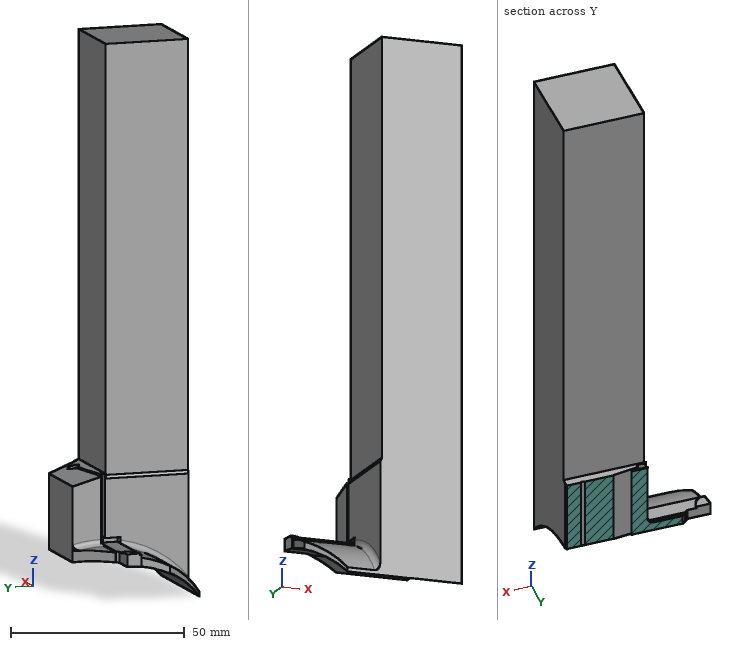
import cadquery as cq
import math

shank_width = 24.7
shank_depth = 25.0
length = 161.2

overall_width = 45.0
overall_depth = 35.1
head_step = 0.5
head_top = 34.2
jaw_outer_top = 32.4
jaw_ridge_y = 26.9
jaw_ridge_top = 34.7
jaw_root_top = 35.5
jaw_corner_x = 21.3
jaw_corner_y = 26.0

arch_radius = 32.7
arch_y = 25.1
arch_z = -math.sqrt(arch_radius**2 - arch_y**2)
blade_radius = 33.0
blade_y = 26.6
blade_z = -18.4
blade_nose_x = -19.3
blade_nose_y = 12.0
blade_front_x = -10.6
blade_fillet = 1.8

insert_front_y = 20.6
insert_back_y = 26.0
insert_top = 15.0
tip_x = shank_width - overall_width
tip_y = 25.1
tip_taper = 0.5
insert_shoulder_x = -13.2
insert_seat_x = -12.2
pocket_end_x = 2.3
pocket_top = 16.8
tip_pad_length = 4.4
tip_pad_depth = 4.0
tip_pad_arc_x = 3.5
tip_pad_arc_y = 2.5
tip_pad_height = 0.5

relief_x = 19.3
relief_y = 28.4
relief_diameter = 3.4
slit_start_y = 26.0
slit_end_y = 28.0
slit_width = 0.56
mouth_width = 1.3
mouth_depth = pocket_end_x + head_step


def cylinder_along_x(radius, y, z):
    """Long cylinder covering the whole X range of the tool."""
    return (cq.Workplane("YZ").center(y, z).circle(radius)
            .extrude(2 * overall_width).translate((-overall_width, 0, 0)))


def prism(points, height=length):
    return cq.Workplane("XY").polyline(points).close().extrude(height)


arch = cylinder_along_x(arch_radius, arch_y, arch_z)


def make_head():
    side_profile = [
        (0, 0), (0, head_top), (shank_depth, head_top), (shank_depth, jaw_root_top),
        (jaw_ridge_y, jaw_ridge_top), (overall_depth, jaw_outer_top), (overall_depth, 0),
    ]
    head = (cq.Workplane("YZ").polyline(side_profile).close()
            .extrude(shank_width + head_step).translate((-head_step, 0, 0)))
    plan = prism([
        (-head_step, 0), (shank_width, 0), (shank_width, jaw_corner_y),
        (jaw_corner_x, overall_depth), (-head_step, overall_depth),
    ])
    step_slope = (cq.Workplane("XZ")
                  .polyline([(-head_step, head_top), (0, head_top + 2 * head_step), (0, head_top)])
                  .close().extrude(-shank_depth))
    return head.intersect(plan).union(step_slope)


def make_blade():
    plan = prism([
        (blade_front_x, 0), (blade_nose_x, blade_nose_y), (blade_nose_x, tip_y),
        (insert_shoulder_x, tip_y), (-head_step, overall_depth),
        (0, overall_depth), (0, 0),
    ])
    return plan.intersect(cylinder_along_x(blade_radius, blade_y, blade_z))


def make_blade_fillet():
    """Concave fillet ring where the blade top runs into the head."""
    outer = blade_radius + blade_fillet
    fillet_x = -head_step - blade_fillet
    section = (cq.Workplane("XY").moveTo(fillet_x, blade_radius - blade_fillet)
               .lineTo(fillet_x, blade_radius)
               .radiusArc((-head_step, outer), -blade_fillet)
               .lineTo(-head_step, blade_radius - blade_fillet).close())
    ring = section.revolve(360, (0, 0), (1, 0)).translate((0, blade_y, blade_z))
    plan = prism([
        (fillet_x, 0), (fillet_x, overall_depth - blade_fillet),
        (-head_step, overall_depth), (-head_step, 0),
    ])
    return ring.intersect(plan)


def make_slit():
    slope = (slit_end_y - slit_start_y) / (relief_x + head_step)
    half_rise = slit_width / 2 * math.sqrt(1 + slope**2)
    slit = prism([
        (-head_step, slit_start_y - half_rise), (relief_x, slit_end_y - half_rise),
        (relief_x, slit_end_y + half_rise), (-head_step, slit_start_y + half_rise),
    ])
    mouth = (cq.Workplane("XY").rect(mouth_depth, mouth_width).extrude(length)
             .translate((mouth_depth / 2 - head_step, slit_start_y, 0)))
    relief = (cq.Workplane("XY").center(relief_x, relief_y)
              .circle(relief_diameter / 2).extrude(length))
    return slit.union(mouth).union(relief)


insert_outline = [
    (tip_x + tip_taper, insert_front_y), (tip_x, tip_y), (insert_shoulder_x, tip_y),
    (insert_seat_x, insert_back_y), (pocket_end_x, insert_back_y), (pocket_end_x, insert_front_y),
]


def make_holder():
    shank = cq.Workplane("XY").box(shank_width, shank_depth, length, centered=False)
    body = shank.union(make_head()).union(make_blade()).union(make_blade_fillet())
    return body.cut(arch).cut(make_slit()).cut(prism(insert_outline, pocket_top))


def make_insert():
    bar = prism(insert_outline, insert_top)
    pad_front_y = tip_y - tip_pad_depth
    pad_front_x = tip_x + tip_taper * tip_pad_depth / (tip_y - insert_front_y)
    pad = (cq.Workplane("XY").moveTo(tip_x, tip_y)
           .lineTo(tip_x + tip_pad_length, tip_y)
           .threePointArc((tip_x + tip_pad_arc_x, tip_y - tip_pad_arc_y), (pad_front_x, pad_front_y))
           .close().extrude(insert_top + tip_pad_height))
    return bar.union(pad).cut(arch)


holder = make_holder()
cutting_insert = make_insert()
result = cq.Compound.makeCompound([holder.val(), cutting_insert.val()])